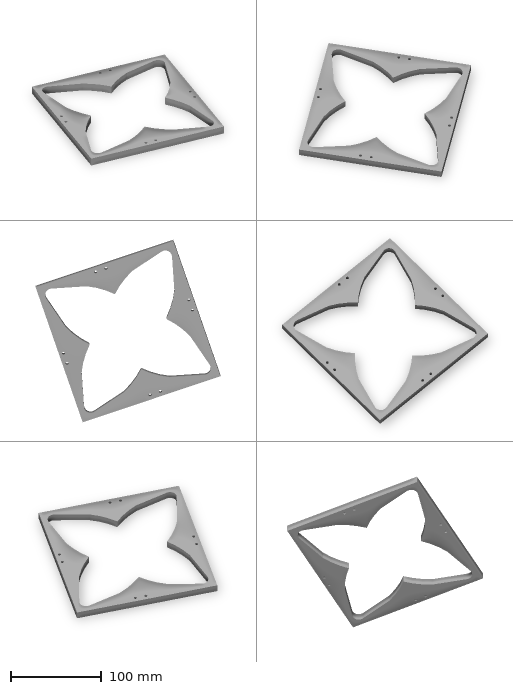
import cadquery as cq
import math

side = 160.0
thickness = 9.0

cusp_radius = 44.5
tip_centre = 66.0
tip_radius = 7.4
flank_angle = math.radians(15)
arc_end = 26.7
arc_radius = 91.2

hole_diameter = 3.2
hole_inset = 5.1
hole_spacing = 12.0

tangent_near = tip_centre - tip_radius * math.sin(flank_angle)
tangent_far = tip_centre + tip_radius * math.cos(flank_angle)
arc_end_height = tangent_far - (tangent_near - arc_end) * math.tan(flank_angle)
tip_apex = tip_centre + tip_radius * math.sqrt(0.5)


def bulge_point(start, end, radius):
    """Middle of the arc from start to end, bulging to the left of travel."""
    dx = end[0] - start[0]
    dy = end[1] - start[1]
    chord = math.hypot(dx, dy)
    sagitta = radius - math.sqrt(radius**2 - (chord / 2) ** 2)
    mid_x = (start[0] + end[0]) / 2 - dy / chord * sagitta
    mid_y = (start[1] + end[1]) / 2 + dx / chord * sagitta
    return mid_x, mid_y


def petal():
    """Solid filling one quarter of the opening, from the plate centre outwards."""
    upper_cusp = (0, cusp_radius)
    upper_arc_end = (arc_end, arc_end_height)
    upper_mid = bulge_point(upper_cusp, upper_arc_end, arc_radius)
    lower_mid = upper_mid[::-1]
    return (
        cq.Workplane("XY")
        .lineTo(*upper_cusp)
        .threePointArc(upper_mid, upper_arc_end)
        .lineTo(tangent_near, tangent_far)
        .threePointArc((tip_apex, tip_apex), (tangent_far, tangent_near))
        .lineTo(arc_end_height, arc_end)
        .threePointArc(lower_mid, (cusp_radius, 0))
        .close()
        .extrude(thickness)
    )


def hole_pair():
    """Pins for the +Y edge: one on the mid-line, one towards +X."""
    hole_y = side / 2 - hole_inset
    return (
        cq.Workplane("XY")
        .pushPoints([(0, hole_y), (hole_spacing, hole_y)])
        .circle(hole_diameter / 2)
        .extrude(thickness)
    )


result = cq.Workplane("XY").rect(side, side).extrude(thickness)
for quarter in range(4):
    angle = 90 * quarter
    result = result.cut(petal().rotate((0, 0, 0), (0, 0, 1), angle))
    result = result.cut(hole_pair().rotate((0, 0, 0), (0, 0, 1), angle))